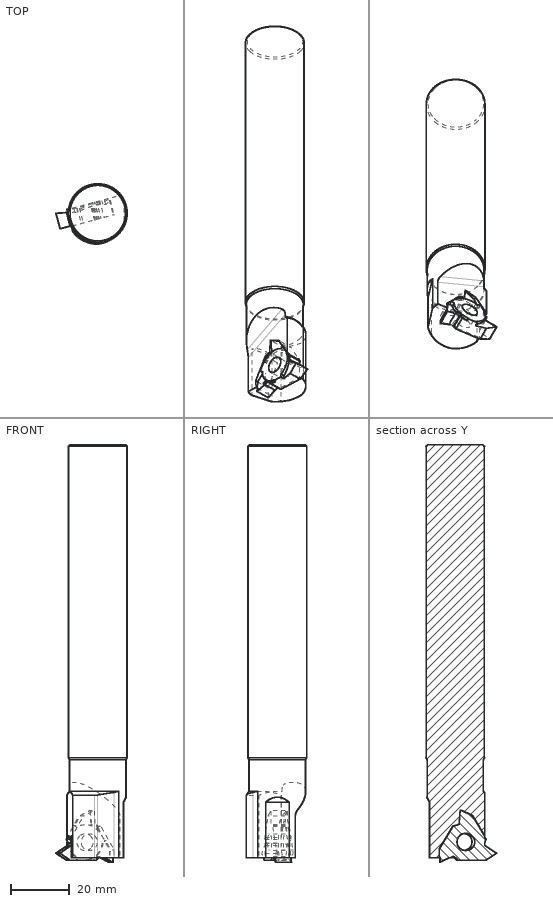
import cadquery as cq
import math

TOTAL_HEIGHT = 141.9
TOTAL_WIDTH = 24.3
SHANK_DIAMETER = 20.0
NECK_DIAMETER = 19.3
SHANK_BOTTOM = 35.6
TOP_CHAMFER = 0.5
SHOULDER_TAPER = 0.7
HEAD_DIAMETER = 21.1
HEAD_TOP = 24.1
HEAD_CONE_HEIGHT = 1.3
HEAD_BOTTOM = 1.5

FLOOR_EDGE_X = -10.4
FLAT_START_X = -10.5
FLAT_END_X = -8.5
LAND_START_X = -1.1
LAND_END_X = -0.1
BACK_OFF_MIDDLE = (2.8, -9.8)
BACK_OFF_END = (5.4, -8.4)
NECK_MEETING_POINT = (7.1, -6.7)
INNER_CORNER = (0, 4.3)

TILT = 15
TOOTH_COUNT = 3
TOOTH_PITCH = 360 / TOOTH_COUNT
INSERT_THICKNESS = 5.5
INSERT_HOLE_DIAMETER = 5.7
TIP_INSET = 10.2
TIP_DROP = 3.8
TOOTH_HALF_ANGLE = 34
EDGE_DISTANCE = 6.2
NUB_OFFSET = 2.5
NOTCH_INSET = 6.2
NOTCH_TOP = -0.4
RAKE_ANGLE = 11
HUB_RADIUS = 6.0

FLOOR_LIFT = 0.3
GULLET_TOP_AT_AXIS = 19.2
GULLET_RISE_X = -0.69
GULLET_RISE_Y = 0.48
GULLET_FILLET = 2.1
GULLET_BLOCK = 56.8
RUN_OUT_BLOCK = 113.5
RELIEF_X = 8.8
RELIEF_TOP = 22.1
RELIEF_RUNOUT = 1.7

shank_radius = SHANK_DIAMETER / 2
neck_radius = NECK_DIAMETER / 2
head_radius = HEAD_DIAMETER / 2
tip_x = shank_radius - TOTAL_WIDTH
tilt_cos = math.cos(math.radians(TILT))
tilt_sin = math.sin(math.radians(TILT))


def turned(point, degrees):
    """Point turned about the insert centre."""
    c = math.cos(math.radians(degrees))
    s = math.sin(math.radians(degrees))
    return (point[0] * c - point[1] * s, point[0] * s + point[1] * c)


first_tip = (-TIP_INSET, -TIP_DROP)
insert_centre = (
    tip_x + TIP_INSET * tilt_cos,
    TIP_INSET * tilt_sin,
    -turned(first_tip, TOOTH_PITCH)[1],
)


def tilted_plane(lift=0.0, height=insert_centre[2]):
    """Plane of the insert face: local x along the insert, local y up, normal into the holder."""
    origin = (insert_centre[0] - lift * tilt_sin, insert_centre[1] + lift * tilt_cos, height)
    return cq.Plane(origin=origin, xDir=(tilt_cos, tilt_sin, 0), normal=(tilt_sin, -tilt_cos, 0))


def insert_outline():
    """One tooth with its nub and notch, repeated around the insert centre."""
    flank_slope = math.tan(math.radians(TOOTH_HALF_ANGLE))
    nub = turned((NUB_OFFSET, -EDGE_DISTANCE), -TOOTH_PITCH)
    notch_bottom = -TIP_DROP + (TIP_INSET - NOTCH_INSET) * flank_slope
    flank_foot = (-TIP_INSET + (EDGE_DISTANCE - TIP_DROP) / flank_slope, -EDGE_DISTANCE)
    tooth = [nub, (-NOTCH_INSET, NOTCH_TOP), (-NOTCH_INSET, notch_bottom), first_tip, flank_foot]
    return [turned(p, i * TOOTH_PITCH) for i in range(TOOTH_COUNT) for p in tooth]


def insert_prism(lift=0.0):
    """Full insert outline through its thickness, started above the insert face by the lift."""
    prism = cq.Workplane(tilted_plane(lift)).polyline(insert_outline()).close()
    return prism.extrude(INSERT_THICKNESS + lift)


def rake_cutter(index):
    """Wedge that deepens from a tooth tip toward the hub."""
    wedge_length = TIP_INSET - HUB_RADIUS / 2
    wedge_depth = wedge_length * math.tan(math.radians(RAKE_ANGLE))
    tooth_plane = tilted_plane().rotated((0, 0, index * TOOTH_PITCH))
    profile_plane = cq.Plane(
        origin=tooth_plane.toWorldCoords((-TIP_INSET, -EDGE_DISTANCE, 0)),
        xDir=tooth_plane.xDir,
        normal=-tooth_plane.yDir,
    )
    wedge = (
        cq.Workplane(profile_plane)
        .polyline([(0, 0), (wedge_length, 0), (wedge_length, wedge_depth)])
        .close()
        .extrude(-(EDGE_DISTANCE + NUB_OFFSET))
    )
    hub = cq.Workplane(tilted_plane()).circle(HUB_RADIUS).extrude(INSERT_THICKNESS)
    return wedge.cut(hub)


def make_insert():
    body = insert_prism()
    for index in range(TOOTH_COUNT):
        body = body.cut(rake_cutter(index))
    hole = cq.Workplane(tilted_plane()).circle(INSERT_HOLE_DIAMETER / 2).extrude(INSERT_THICKNESS)
    return body.cut(hole)


def shank_and_neck():
    """Turned body on the Z axis, down to the bottom of the head."""
    profile = [
        (0, HEAD_BOTTOM),
        (neck_radius, HEAD_BOTTOM),
        (neck_radius, SHANK_BOTTOM - SHOULDER_TAPER),
        (shank_radius, SHANK_BOTTOM),
        (shank_radius, TOTAL_HEIGHT - TOP_CHAMFER),
        (shank_radius - TOP_CHAMFER, TOTAL_HEIGHT),
        (0, TOTAL_HEIGHT),
    ]
    return cq.Workplane("XZ").polyline(profile).close().revolve(360, (0, 0), (0, 1))


def on_head(x, side):
    """Point of the head circle at a given x, on the +Y (1) or -Y (-1) side."""
    return (x, side * math.sqrt(head_radius**2 - x**2))


def head():
    """Enlarged -Y side of the lower end, with a coned top and a flat behind the cutting tip."""
    round_blank = (
        cq.Workplane("XZ")
        .polyline([
            (0, HEAD_BOTTOM),
            (head_radius, HEAD_BOTTOM),
            (head_radius, HEAD_TOP - HEAD_CONE_HEIGHT),
            (neck_radius, HEAD_TOP),
            (0, HEAD_TOP),
        ])
        .close()
        .revolve(360, (0, 0), (0, 1))
    )
    arc_middle_x = (FLAT_END_X + LAND_START_X) / 2
    sector = (
        cq.Workplane("XY")
        .moveTo(*on_head(FLOOR_EDGE_X, 1))
        .lineTo(*on_head(FLAT_START_X, 1))
        .lineTo(*on_head(FLAT_END_X, -1))
        .threePointArc(on_head(arc_middle_x, -1), on_head(LAND_START_X, -1))
        .lineTo(*on_head(LAND_END_X, -1))
        .threePointArc(BACK_OFF_MIDDLE, BACK_OFF_END)
        .lineTo(*NECK_MEETING_POINT)
        .lineTo(*INNER_CORNER)
        .close()
        .extrude(HEAD_TOP)
    )
    return round_blank.intersect(sector)


def gullet_cutter():
    """Space above the insert face, closed at the top by a sloping run-out plane."""
    floor_plane = tilted_plane(FLOOR_LIFT, 0)
    blank = cq.Workplane(floor_plane).rect(GULLET_BLOCK, 2 * GULLET_BLOCK).extrude(-GULLET_BLOCK / 2)
    run_out_plane = cq.Plane(
        origin=(0, 0, GULLET_TOP_AT_AXIS),
        xDir=(1, 0, GULLET_RISE_X),
        normal=(-GULLET_RISE_X, -GULLET_RISE_Y, 1),
    )
    kept_above = cq.Workplane(run_out_plane).rect(RUN_OUT_BLOCK, RUN_OUT_BLOCK).extrude(RUN_OUT_BLOCK)
    cutter = blank.cut(kept_above)
    corner = cq.selectors.NearestToPointSelector((0, 0, GULLET_TOP_AT_AXIS))
    return cutter.edges(corner).fillet(GULLET_FILLET)


def relief_cutter():
    """Flat on the +X side with a short run-out at its top."""
    profile = [
        (RELIEF_X, 0),
        (RELIEF_X, RELIEF_TOP - RELIEF_RUNOUT),
        (neck_radius, RELIEF_TOP),
        (shank_radius, RELIEF_TOP),
        (shank_radius, 0),
    ]
    return cq.Workplane("XZ").polyline(profile).close().extrude(head_radius, both=True)


def make_holder():
    body = shank_and_neck().union(head())
    body = body.cut(gullet_cutter()).cut(relief_cutter())
    return body.cut(insert_prism(FLOOR_LIFT))


holder = make_holder()
insert = make_insert()

result = cq.Compound.makeCompound([holder.val(), insert.val()])